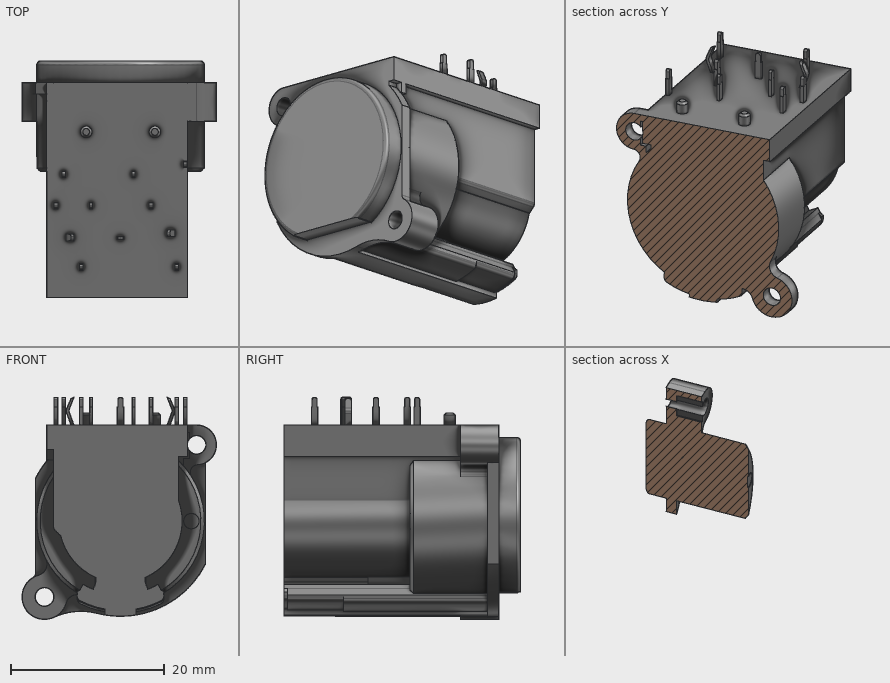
import cadquery as cq
import math


total_length = 30.8
flange_rear = 27.97
flange_thickness = 1.48
ear_thickness = 5.02
barrel_front = 16.42
flange_front = flange_rear - flange_thickness
ear_front = flange_rear - ear_thickness

top_z = 12.5
body_half_width = 8.72
body_radius = 8.0
right_wall_x = 7.5
right_step_z = 8.4
overhang_x = 9.6
overhang_z = 9.33
left_wall_bottom = -1.0
wall_corner_fillet = 0.75
left_slope = 0.92
tab_width = 0.9
tab_bottom_z = 7.98

barrel_radius = 10.9
barrel_chamfer = 0.45
nose_fillet = 0.55
flange_radius = 12.38
flange_half_width = 11.05
disc_mark_diameter = 2.0
disc_mark_x = 9.2
disc_mark_depth = 0.1

ear_offset = 9.9
screw_hole_diameter = 2.4
lower_ear_radius = 2.93
upper_ear_radius = 2.6
lower_ear = (-ear_offset, -9.85)
upper_ear = (ear_offset, top_z - upper_ear_radius)
lower_ear_blend_radius = 1.5
upper_ear_blend_radius = 1.0
plate_to_ear_fillet = 0.75
lower_edge_blend_radius = 8.32
slab_clearance = 0.25
slab_gap_top = 11.52
wall_clearance = 0.65

neck_half_width = 3.33
neck_relief = 0.12
neck_relief_length = 10.95
neck_flare = 0.37
neck_flare_z = -7.95
rail_half_width = 5.65
rail_top_radius = 9.55
rail_top_half_width = 4.87
rail_shoulder = (5.17, -8.78)
rail_side_top = -9.6
rail_corner_fillet = 0.75
rail_bottom_radius = 11.95
rail_relief = 0.22
rail_relief_length = 7.75
rail_cap_length = 0.45
rail_cap_side_top = -9.2
rail_cap_relief = 0.35
foot_half_width = 2.0

pin_top = 16.08
pin_width = 0.85
pin_tip_width = 0.68
pin_shoulder_z = 14.85
pin_tip_fillet = 0.28
wide_gauge = 0.5
thin_gauge = 0.4
peg_diameter = 1.5
peg_height = 1.57
peg_chamfer = 0.3
peg_x = 4.47
peg_y = 21.55
row_1 = 4.0
row_2 = 11.98
row_3 = 16.05
single_row = 17.35
center_pin_y = 7.75
side_pins = [
    (-5.1, row_1, wide_gauge),
    (7.3, row_1, wide_gauge),
    (-8.4, row_2, wide_gauge),
    (-3.82, row_2, thin_gauge),
    (3.97, row_2, wide_gauge),
    (-7.4, row_3, wide_gauge),
    (1.7, row_3, thin_gauge),
    (8.4, single_row, wide_gauge),
]
kinked_pins = [(-1, 7.82), (1, 8.38)]
kink_base_x = 6.25
kink_knee_x = 6.93
kink_knee_z = 14.35
kink_top = 16.02
kink_inner_radius = 0.5
embed = 0.3


def sketch_at(y):
    """XZ sketch plane whose extrusions run from y toward the closed end."""
    return cq.Workplane("XZ", origin=(0, y, 0))


def box(x0, x1, y0, y1, z0, z1):
    return cq.Workplane("XY").box(x1 - x0, y1 - y0, z1 - z0, centered=False).translate((x0, y0, z0))


def disc(center, radius, y0, y1):
    return sketch_at(y1).center(*center).circle(radius).extrude(y1 - y0)


def on_circle(radius, x):
    """Height of a circle about the socket axis at the given x."""
    return math.sqrt(radius**2 - x**2)


def toward(start, target, distance):
    span = math.dist(start, target)
    return tuple(s + (t - s) * distance / span for s, t in zip(start, target))


def blend_web(ear, ear_radius, main_radius, blend_radius, side, y0, y1):
    """Web that fills one corner between an ear and the main circle with a tangent concave arc."""
    spacing = math.hypot(*ear)
    reach = main_radius + blend_radius
    ear_reach = ear_radius + blend_radius
    swing = math.acos((reach**2 + spacing**2 - ear_reach**2) / (2 * reach * spacing))
    angle = math.atan2(ear[1], ear[0]) + side * swing
    center = (reach * math.cos(angle), reach * math.sin(angle))
    main_tangent = toward(center, (0, 0), blend_radius)
    ear_tangent = toward(center, ear, blend_radius)
    chord_middle = tuple((a + b) / 2 for a, b in zip(main_tangent, ear_tangent))
    middle = toward(center, chord_middle, blend_radius)
    web = (
        sketch_at(y1)
        .moveTo(0, 0)
        .lineTo(*main_tangent)
        .threePointArc(middle, ear_tangent)
        .lineTo(*ear)
        .close()
    )
    return web.extrude(y1 - y0)


def make_body():
    slope_x = -body_half_width + left_slope
    slope_z = left_wall_bottom - left_slope
    profile = (
        sketch_at(flange_rear)
        .moveTo(-overhang_x, top_z)
        .lineTo(body_half_width, top_z)
        .lineTo(body_half_width, right_step_z)
        .lineTo(right_wall_x, right_step_z)
        .lineTo(right_wall_x, on_circle(body_radius, right_wall_x))
        .threePointArc((0, -body_radius), (slope_x, -on_circle(body_radius, slope_x)))
        .lineTo(slope_x, slope_z)
        .lineTo(-body_half_width, left_wall_bottom)
        .lineTo(-body_half_width, overhang_z)
        .lineTo(-overhang_x, overhang_z)
        .close()
    )
    body = profile.extrude(flange_rear)
    wall_corner = cq.selectors.NearestToPointSelector(
        (-body_half_width, flange_rear / 2, left_wall_bottom)
    )
    body = body.edges(wall_corner).fillet(wall_corner_fillet)
    tab = box(
        -overhang_x, -body_half_width + embed,
        flange_front - tab_width, flange_front,
        tab_bottom_z, overhang_z + embed,
    )
    return body.union(tab)


def wings(bottom_radius, side_top, y0, y1):
    """Both wings of the rail, bounded by arcs about the socket axis."""
    corner_z = -on_circle(bottom_radius, rail_half_width)
    top_x = rail_top_half_width
    shoulder_x, shoulder_z = rail_shoulder
    profile = (
        sketch_at(y1)
        .moveTo(-top_x, -on_circle(rail_top_radius, top_x))
        .threePointArc((0, -rail_top_radius), (top_x, -on_circle(rail_top_radius, top_x)))
        .lineTo(shoulder_x, shoulder_z)
        .lineTo(rail_half_width, side_top)
        .lineTo(rail_half_width, corner_z)
        .threePointArc((0, -bottom_radius), (-rail_half_width, corner_z))
        .lineTo(-rail_half_width, side_top)
        .lineTo(-shoulder_x, shoulder_z)
        .close()
    )
    wing_pair = profile.extrude(y1 - y0)
    for corner_x in (-rail_half_width, rail_half_width):
        corner = cq.selectors.NearestToPointSelector((corner_x, (y0 + y1) / 2, corner_z))
        wing_pair = wing_pair.edges(corner).fillet(rail_corner_fillet)
    return wing_pair


def relieved_neck():
    """Thinner stretch of the neck, flared where it meets the wings."""
    slim = neck_half_width - neck_relief
    flared = slim + neck_flare
    flare_end_z = -on_circle(rail_top_radius, flared)
    outline = [
        (-slim, 0),
        (slim, 0),
        (slim, neck_flare_z),
        (flared, flare_end_z),
        (flared, -rail_top_radius - embed),
        (-flared, -rail_top_radius - embed),
        (-flared, flare_end_z),
        (-slim, neck_flare_z),
    ]
    return sketch_at(neck_relief_length).polyline(outline).close().extrude(neck_relief_length)


def make_rail():
    rail = relieved_neck()
    rail = rail.union(
        box(
            -neck_half_width, neck_half_width,
            neck_relief_length, flange_rear,
            -rail_top_radius - embed, 0,
        )
    )
    wing_steps = [
        (rail_cap_relief, rail_cap_side_top, 0, rail_cap_length),
        (rail_relief, rail_side_top, rail_cap_length, rail_relief_length),
        (0, rail_side_top, rail_relief_length, flange_rear),
    ]
    for relief, side_top, start, end in wing_steps:
        rail = rail.union(wings(rail_bottom_radius - relief, side_top, start, end))
    foot = disc((0, 0), flange_radius, 0, flange_rear).intersect(
        box(-foot_half_width, foot_half_width, 0, flange_rear, -flange_radius, -rail_top_radius)
    )
    return rail.union(foot)


def make_barrel():
    barrel = disc((0, 0), barrel_radius, barrel_front, flange_rear)
    barrel = barrel.faces("<Y").chamfer(barrel_chamfer)
    mark = disc((disc_mark_x, 0), disc_mark_diameter / 2, barrel_front, barrel_front + disc_mark_depth)
    return barrel.cut(mark)


def make_nose():
    nose = disc((0, 0), barrel_radius, flange_rear - embed, total_length)
    nose = nose.faces(">Y").edges().fillet(nose_fillet)
    latch_notch = box(
        -rail_half_width, rail_half_width,
        flange_rear, total_length,
        -barrel_radius, rail_cap_side_top,
    )
    return nose.cut(latch_notch)


def make_flange():
    plate = disc((0, 0), flange_radius, flange_front, flange_rear)
    plate = plate.intersect(
        box(
            -flange_half_width, flange_half_width,
            flange_front, flange_rear,
            -flange_radius, overhang_z,
        )
    )
    left_shoulder_z = on_circle(flange_radius, body_half_width)
    corner = box(
        -flange_half_width, -body_half_width,
        flange_front, flange_rear,
        left_shoulder_z, overhang_z,
    )
    plate = plate.cut(corner)
    edge_blend = blend_web(
        lower_ear, lower_ear_radius, flange_radius, lower_edge_blend_radius, 1,
        flange_front, flange_rear,
    )
    right_edge = box(
        body_half_width, flange_half_width,
        flange_front, flange_rear,
        0, upper_ear[1] - upper_ear_radius + embed,
    )
    left_edge = box(
        -flange_half_width, -body_half_width,
        flange_front, flange_rear,
        lower_ear[1] + lower_ear_radius - embed, 0,
    )
    return plate.union(edge_blend).union(right_edge).union(left_edge)


def make_ears():
    ears = disc(lower_ear, lower_ear_radius, ear_front, flange_rear)
    ears = ears.union(disc(upper_ear, upper_ear_radius, ear_front, flange_rear))
    blends = (
        (lower_ear, lower_ear_radius, lower_ear_blend_radius),
        (upper_ear, upper_ear_radius, upper_ear_blend_radius),
    )
    for ear, radius, blend_radius in blends:
        for side in (-1, 1):
            ears = ears.union(
                blend_web(ear, radius, barrel_radius, blend_radius, side, ear_front, flange_rear)
            )
    flat_top = box(0, ear_offset, ear_front, flange_rear, upper_ear[1], top_z)
    ears = ears.union(flat_top)
    slab_gap = box(
        right_wall_x, body_half_width + slab_clearance,
        ear_front, flange_front,
        right_step_z - slab_clearance, slab_gap_top,
    )
    wall_gap = box(
        right_wall_x, right_wall_x + wall_clearance,
        ear_front, flange_front,
        0, right_step_z,
    )
    return ears.cut(slab_gap).cut(wall_gap)


def screw_hole(ear):
    return disc(ear, screw_hole_diameter / 2, ear_front, flange_rear)


def straight_pin(x, y, thickness, turn=0):
    """Flat pin, wide along Y, with a narrower rounded tip."""
    root = top_z - embed
    shank = cq.Workplane("XY").box(
        thickness, pin_width, pin_shoulder_z - root, centered=(True, True, False)
    )
    tip = cq.Workplane("XY").box(
        thickness, pin_tip_width, pin_top - root, centered=(True, True, False)
    )
    tip = tip.faces(">Z").edges("|X").fillet(pin_tip_fillet)
    pin = shank.union(tip)
    return pin.rotate((0, 0, 0), (0, 0, 1), turn).translate((x, y, root))


def kinked_pin(side, y):
    """Spring pin that bends outward and back, of constant sheet thickness."""
    half = thin_gauge / 2
    inner_base = kink_base_x - half
    inner_knee = kink_knee_x - half
    outer_base = kink_base_x + half
    outer_knee = kink_knee_x + half
    corners = [
        (inner_base, top_z - embed),
        (inner_base, top_z),
        (inner_knee, kink_knee_z),
        (inner_base, kink_top + half / 2),
        (outer_base, kink_top - half / 2),
        (outer_knee, kink_knee_z),
        (outer_base, top_z),
        (outer_base, top_z - embed),
    ]
    outline = [(side * x, z) for x, z in corners]
    pin = sketch_at(y + pin_width / 2).polyline(outline).close().extrude(pin_width)
    bends = ((inner_knee, kink_inner_radius), (outer_knee, kink_inner_radius + thin_gauge))
    for knee_x, radius in bends:
        knee_edge = cq.selectors.NearestToPointSelector((side * knee_x, y, kink_knee_z))
        pin = pin.edges(knee_edge).fillet(radius)
    for edge_y in (y - pin_width / 2, y + pin_width / 2):
        tip_edge = cq.selectors.NearestToPointSelector((side * kink_base_x, edge_y, kink_top))
        pin = pin.edges(tip_edge).fillet(pin_tip_fillet)
    return pin


def locating_peg(x):
    peg = cq.Workplane("XY").circle(peg_diameter / 2).extrude(peg_height + embed)
    peg = peg.faces(">Z").chamfer(peg_chamfer)
    return peg.translate((x, peg_y, top_z - embed))


def make_mount():
    """Flange and ears, with the left plate edge blended into the lower ear."""
    mount = make_flange().union(make_ears())
    ear_rise = on_circle(lower_ear_radius, ear_offset - flange_half_width)
    inner_corner = cq.selectors.NearestToPointSelector(
        (-flange_half_width, flange_rear - flange_thickness / 2, lower_ear[1] + ear_rise)
    )
    return mount.edges(inner_corner).fillet(plate_to_ear_fillet)


result = make_body()
for piece in (make_rail(), make_barrel(), make_nose(), make_mount()):
    result = result.union(piece)
for ear_center in (lower_ear, upper_ear):
    result = result.cut(screw_hole(ear_center))
for pin_x, pin_y, gauge in side_pins:
    result = result.union(straight_pin(pin_x, pin_y, gauge))
result = result.union(straight_pin(0, center_pin_y, thin_gauge, turn=90))
for pin_side, pin_y in kinked_pins:
    result = result.union(kinked_pin(pin_side, pin_y))
for side_x in (-peg_x, peg_x):
    result = result.union(locating_peg(side_x))